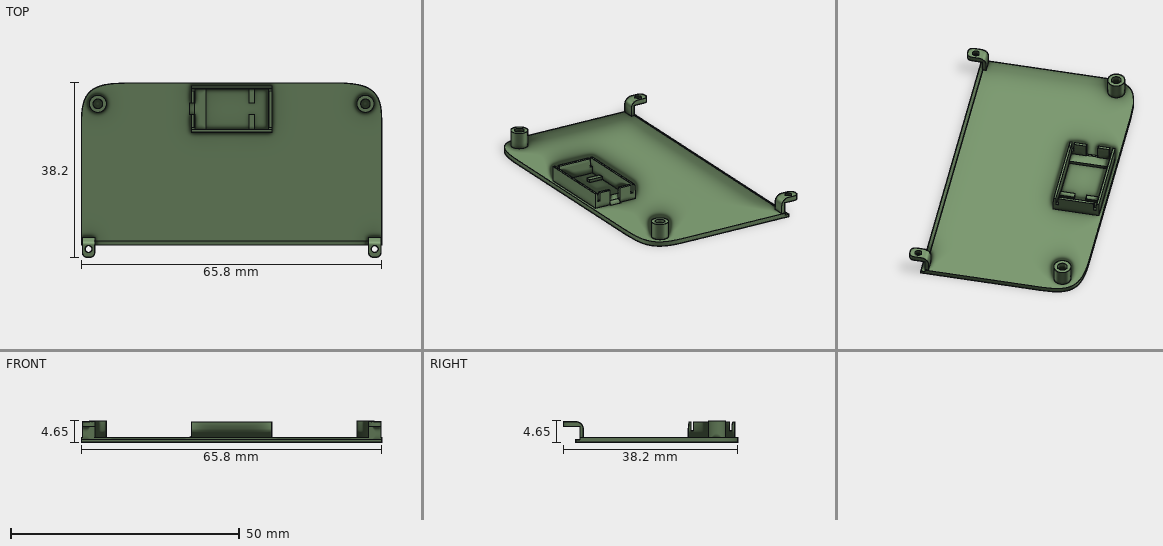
import cadquery as cq

plate_width = 65.8
plate_depth = 35.5
plate_thickness = 1.05
corner_along_x = 10.4
corner_along_y = 8.5
corner_pull = 0.79
lip_depth = 0.9
lip_height = 0.6

post_height = 3.6
post_diameter = 3.75
post_bore = 2.1
post_x = 29.3
post_y = 30.9

lug_width = 2.75
lug_side_gap = 0.2
lug_overhang = 2.7
lug_top = 4.55
lug_thickness = 1.1
leg_thickness = 0.8
lug_bend_radius = 1.7
lug_tip_radius = 1.1
lug_hole_diameter = 1.45
lug_hole_y = -0.85

box_length = 17.65
box_front = 24.6
box_back = 34.9
box_top = 4.5
long_wall_base = 0.65
long_wall_rim = 0.45
front_lean_start = 2.75
end_wall_base = 0.8
end_wall_rim = 0.6
inner_bevel_start = 3.8
relief_width = 0.5
relief_depth = 1.9

notch_front = 28.55
notch_back = 31.1
shelf_height = 0.65
shelf_edge_x = -5.65
ramp_bottom_x = -9.2
ramp_top_x = -8.15
rib_x = 3.8
rib_width = 1.2

half_width = plate_width / 2
half_box = box_length / 2
inside_front = box_front + long_wall_base
inside_back = box_back - long_wall_base
inside_depth = inside_back - inside_front


def block(x, y, z, length, depth, height):
    """Box with its lowest corner at (x, y, z)."""
    return cq.Workplane("XY").box(length, depth, height, centered=False).translate((x, y, z))


def extrude_along_x(points, start, length):
    """Prism along +X from (y, z) points."""
    return cq.Workplane("YZ", origin=(start, 0, 0)).polyline(points).close().extrude(length)


def extrude_along_y(points, start, length):
    """Prism along +Y from (x, z) points."""
    return cq.Workplane("XZ", origin=(0, start, 0)).polyline(points).close().extrude(-length)


def corner_curve(side):
    """Control points of a back corner, from the side edge to the back edge."""
    x = side * half_width
    return [
        (x, plate_depth - corner_along_y),
        (x, plate_depth - corner_along_y * (1 - corner_pull)),
        (x - side * corner_along_x * (1 - corner_pull), plate_depth),
        (x - side * corner_along_x, plate_depth),
    ]


def make_plate():
    left = corner_curve(-1)
    right = corner_curve(1)
    plate = (
        cq.Workplane("XY")
        .moveTo(-half_width, 0)
        .lineTo(half_width, 0)
        .lineTo(*right[0])
        .bezier(right)
        .lineTo(*left[-1])
        .bezier(left[::-1])
        .close()
        .extrude(plate_thickness)
    )
    step = block(-half_width, 0, lip_height, plate_width, lip_depth, plate_thickness)
    return plate.cut(step)


def make_post(x):
    return (
        cq.Workplane("XY", origin=(x, post_y, plate_thickness))
        .circle(post_diameter / 2)
        .circle(post_bore / 2)
        .extrude(post_height)
    )


def make_lug(center_x):
    start = center_x - lug_width / 2
    leg_back = lip_depth + leg_thickness
    profile = [
        (lip_depth, lip_height),
        (leg_back, lip_height),
        (leg_back, lug_top),
        (-lug_overhang, lug_top),
        (-lug_overhang, lug_top - lug_thickness),
        (lip_depth, lug_top - lug_thickness),
    ]
    lug = extrude_along_x(profile, start, lug_width)
    lug = lug.edges("|X and >Y and >Z").fillet(lug_bend_radius)
    lug = lug.edges("|Z and <Y").fillet(lug_tip_radius)
    hole = (
        cq.Workplane("XY", origin=(center_x, lug_hole_y, lug_top - lug_thickness))
        .circle(lug_hole_diameter / 2)
        .extrude(lug_thickness)
    )
    return lug.cut(hole)


def make_long_walls():
    front = [
        (box_front, plate_thickness),
        (inside_front, plate_thickness),
        (inside_front, box_top),
        (inside_front - long_wall_rim, box_top),
        (box_front, front_lean_start),
    ]
    back = [
        (box_back, plate_thickness),
        (inside_back, plate_thickness),
        (inside_back, inner_bevel_start),
        (box_back - long_wall_rim, box_top),
        (box_back, box_top),
    ]
    return extrude_along_x(front, -half_box, box_length).union(
        extrude_along_x(back, -half_box, box_length)
    )


def make_end_wall():
    """Left end wall, thinned on the inside near the rim."""
    section = [
        (-half_box, plate_thickness),
        (-half_box + end_wall_base, plate_thickness),
        (-half_box + end_wall_base, inner_bevel_start),
        (-half_box + end_wall_rim, box_top),
        (-half_box, box_top),
    ]
    wall = extrude_along_y(section, inside_front, inside_depth)
    for y in (inside_front, inside_back - relief_width):
        wall = wall.cut(
            block(-half_box, y, box_top - relief_depth, end_wall_base, relief_width, relief_depth)
        )
    return wall


def make_notch():
    notch_depth = notch_back - notch_front
    return block(-half_box, notch_front, plate_thickness, end_wall_base, notch_depth, box_top)


def make_shelf():
    """Raised floor beside the notch, with a ramp leading out through it."""
    shelf_top = plate_thickness + shelf_height
    inner_x = -half_box + end_wall_base
    shelf = block(
        inner_x, inside_front, plate_thickness, shelf_edge_x - inner_x, inside_depth, shelf_height
    )
    ramp_profile = [
        (ramp_bottom_x, plate_thickness),
        (shelf_edge_x, plate_thickness),
        (shelf_edge_x, shelf_top),
        (ramp_top_x, shelf_top),
    ]
    return shelf.union(extrude_along_y(ramp_profile, notch_front, notch_back - notch_front))


def make_ribs():
    """Two ribs from the long walls, leaving a gap in line with the notch."""
    front = block(
        rib_x, inside_front, plate_thickness, rib_width, notch_front - inside_front, shelf_height
    )
    back = block(
        rib_x, notch_back, plate_thickness, rib_width, inside_back - notch_back, shelf_height
    )
    return front.union(back)


end_wall = make_end_wall()
result = make_plate().union(make_long_walls())
result = result.union(end_wall.cut(make_notch())).union(end_wall.mirror("YZ"))
result = result.union(make_shelf()).union(make_ribs())

lug_x = half_width - lug_side_gap - lug_width / 2
for side in (-1, 1):
    result = result.union(make_post(side * post_x))
    result = result.union(make_lug(side * lug_x))